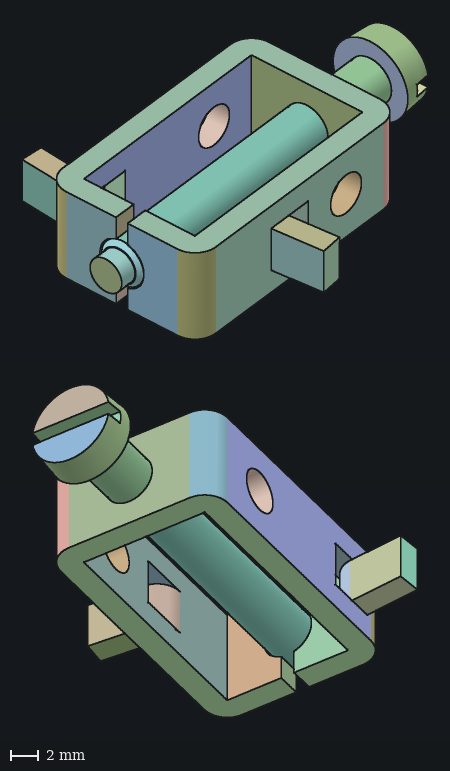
import cadquery as cq
import math

frame_width = 14.5
frame_length = 23.0
frame_height = 8.0
wall = 2.0
corner_radius = 2.0
half_width = frame_width / 2

split_width = 1.1
front_hole_diameter = 4.15

cross_hole_diameter = 3.5
cross_hole_y = 16.75

window_length = 4.2
window_height = 3.85
window_front_y = 2.5
window_stagger = 5.75
tab_angle = 5.0
tab_tip_x = 11.9

screw_diameter = 4.0
tip_diameter = 3.0
shoulder_diameter = 3.15
tip_projection = 1.8
tip_shoulder_y = -0.3
shoulder_chamfer = (screw_diameter - shoulder_diameter) / 2
neck_length = 5.2
head_length = 2.6
head_base_diameter = 7.1
head_end_diameter = 6.7
drive_slot_width = 1.1
drive_slot_depth = 1.4

head_base_y = frame_length + neck_length
head_end_y = head_base_y + head_length


def make_frame():
    """Ring with rounded outer corners, sharp inner corners and a split front wall."""
    center_y = frame_length / 2
    frame = (
        cq.Workplane("XY")
        .box(frame_width, frame_length, frame_height)
        .edges("|Z")
        .fillet(corner_radius)
    )
    opening = cq.Workplane("XY").box(frame_width - 2 * wall, frame_length - 2 * wall, frame_height)
    frame = frame.cut(opening).translate((0, center_y, 0))
    split = cq.Workplane("XY").box(split_width, wall, frame_height).translate((0, wall / 2, 0))
    front_hole = cq.Workplane("XZ").circle(front_hole_diameter / 2).extrude(-wall)
    cross_hole = (
        cq.Workplane("YZ")
        .center(cross_hole_y, 0)
        .circle(cross_hole_diameter / 2)
        .extrude(half_width, both=True)
    )
    return frame.cut(split).cut(front_hole).cut(cross_hole)


def make_window(side, front_y):
    """Rectangular opening through the side wall; side is -1 for left, +1 for right."""
    center_x = side * (half_width - wall / 2)
    center_y = front_y + window_length / 2
    return cq.Workplane("XY").box(wall, window_length, window_height).translate((center_x, center_y, 0))


def make_tab(side, front_y):
    """Strip of the wall bent outward about the front outer edge of its window."""
    bend_middle = math.radians((180 + 90 + tab_angle) / 2)
    bend_end = math.radians(90 + tab_angle)
    tip_x = tab_tip_x - half_width
    tip_y = tip_x * math.tan(math.radians(tab_angle))
    face_x = wall * math.cos(bend_end)
    face_y = wall * math.sin(bend_end)
    tab = (
        cq.Workplane("XY")
        .moveTo(-wall, 0)
        .threePointArc((wall * math.cos(bend_middle), wall * math.sin(bend_middle)), (face_x, face_y))
        .lineTo(tip_x + face_x, tip_y + face_y)
        .lineTo(tip_x, tip_y)
        .lineTo(0, 0)
        .close()
        .extrude(window_height / 2, both=True)
        .translate((half_width, front_y, 0))
    )
    return tab if side > 0 else tab.mirror("YZ")


def make_screw():
    """Turned screw with a reduced tip, chamfered shoulder and tapered slotted head."""
    screw_radius = screw_diameter / 2
    tip_radius = tip_diameter / 2
    screw = (
        cq.Workplane("XY")
        .moveTo(0, -tip_projection)
        .lineTo(tip_radius, -tip_projection)
        .lineTo(tip_radius, tip_shoulder_y)
        .lineTo(shoulder_diameter / 2, tip_shoulder_y)
        .lineTo(screw_radius, tip_shoulder_y + shoulder_chamfer)
        .lineTo(screw_radius, head_base_y)
        .lineTo(head_base_diameter / 2, head_base_y)
        .lineTo(head_end_diameter / 2, head_end_y)
        .lineTo(0, head_end_y)
        .close()
        .revolve(360, (0, 0, 0), (0, 1, 0))
    )
    drive_slot = (
        cq.Workplane("XY")
        .box(head_base_diameter, drive_slot_depth, drive_slot_width)
        .translate((0, head_end_y - drive_slot_depth / 2, 0))
    )
    return screw.cut(drive_slot)


result = make_frame()
for side, front_y in ((-1, window_front_y), (1, window_front_y + window_stagger)):
    result = result.cut(make_window(side, front_y)).union(make_tab(side, front_y))
result = result.union(make_screw())